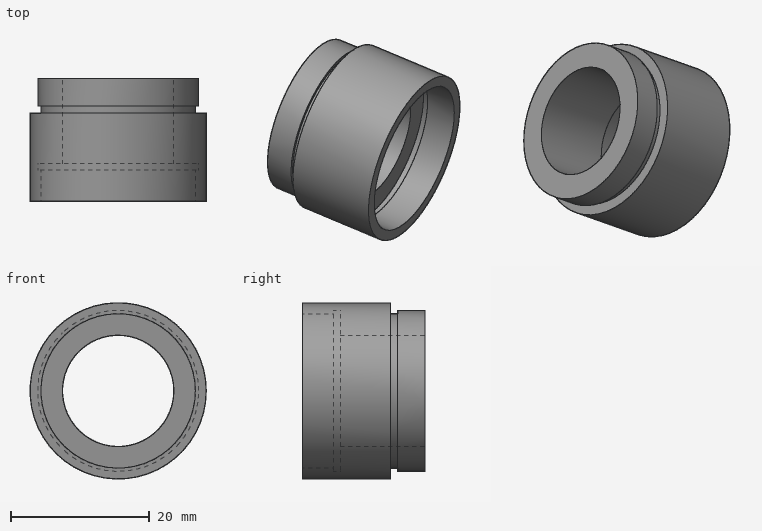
import cadquery as cq

body_diameter = 25.4
body_length = 12.73
neck_diameter = 22.3
neck_length = 1.0
collar_diameter = 23.2
collar_length = 4.0
total_length = body_length + neck_length + collar_length

bore_diameter = 16.0
counterbore_diameter = 22.22
counterbore_depth = 5.49

groove_diameter = 23.2
groove_width = 1.0


def cylinder_along_y(diameter, start, length):
    """Solid cylinder on the Y axis, running from start towards +Y."""
    plane = cq.Workplane("XZ", origin=(0, start, 0))
    return plane.circle(diameter / 2).extrude(-length)


front_face = -total_length / 2
neck_start = front_face + body_length
collar_start = neck_start + neck_length

body = cylinder_along_y(body_diameter, front_face, body_length)
neck = cylinder_along_y(neck_diameter, neck_start, neck_length)
collar = cylinder_along_y(collar_diameter, collar_start, collar_length)

bore = cylinder_along_y(bore_diameter, front_face, total_length)
counterbore = cylinder_along_y(counterbore_diameter, front_face, counterbore_depth)

groove_start = front_face + counterbore_depth - groove_width
groove = cylinder_along_y(groove_diameter, groove_start, groove_width)

result = body.union(neck).union(collar).cut(bore).cut(counterbore).cut(groove)